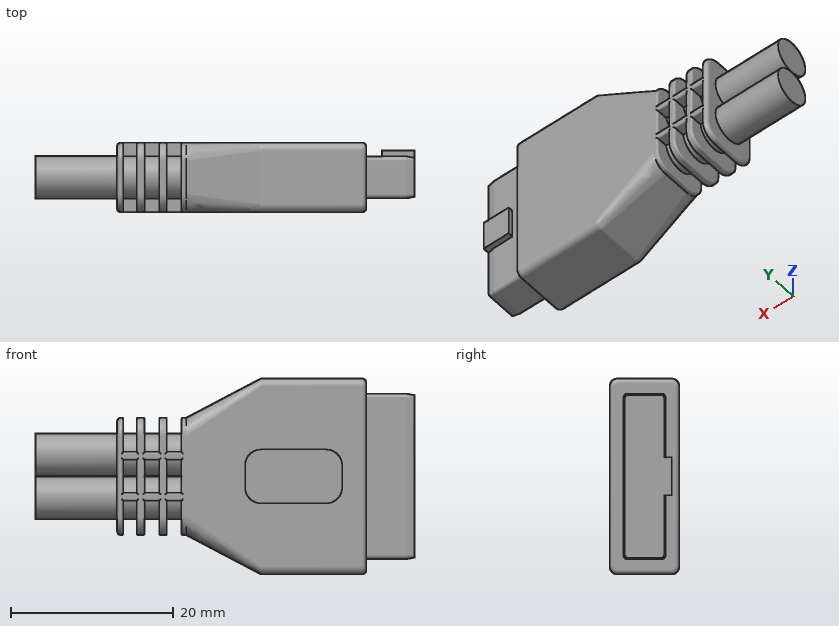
import cadquery as cq


cable_diameter = 5.3
cable_gap = 0.05
cable_offset_z = (cable_diameter + cable_gap) / 2

relief_width = 8.6
relief_height = 14.5
relief_corner_radius = 2.25
rib_thickness = 1.0
rib_starts = [12.5, 15.25]
end_plate_start = 10.05
end_plate_thickness = 0.8
end_plate_outer_fillet = 0.5
rib_edge_fillet = 0.25
collar_start = 18.0
bar_thickness = 1.0
bar_offset_z = 2.55

taper_start = 18.63
body_start = 27.85
body_end = 40.85
body_width = relief_width
body_height = 24.2
body_corner_radius = 1.0
body_end_fillet = 0.55
shoulder_fillet = 0.5
shoulder_margin = 0.05

recess_start = 25.9
recess_length = 12.0
recess_height = 6.65
recess_corner_radius = 1.95
recess_depth = 0.45

plug_end = 46.8
plug_width = 5.2
plug_height = 20.45
plug_edge_radius = 0.5
nose_length = 1.05
nose_setback = 0.2

key_start = 42.78
key_rise = 0.75
key_height = 4.7


def rounded_outline(width, height, radius):
    return cq.Sketch().rect(width, height).vertices().fillet(radius)


def rounded_bar(x, length, width, height, radius):
    outline = rounded_outline(width, height, radius)
    return cq.Workplane("YZ", origin=(x, 0, 0)).placeSketch(outline).extrude(length)


def tapered_bar(x, length, start_outline, end_outline):
    """Bar along X that blends from one outline to the other."""
    far_outline = end_outline.moved(cq.Location(cq.Vector(0, 0, length)))
    return cq.Workplane("YZ", origin=(x, 0, 0)).placeSketch(start_outline, far_outline).loft()


def relief_plate(x, thickness):
    return rounded_bar(x, thickness, relief_width, relief_height, relief_corner_radius)


def make_cable(z):
    return cq.Workplane("YZ", origin=(0, 0, z)).circle(cable_diameter / 2).extrude(collar_start)


def make_shell():
    """Straight housing block with the taper that narrows down to the collar."""
    collar_outline = rounded_outline(relief_width, relief_height, relief_corner_radius)
    body_outline = rounded_outline(body_width, body_height, body_corner_radius)
    taper = tapered_bar(taper_start, body_start - taper_start, collar_outline, body_outline)
    body = rounded_bar(body_start, body_end - body_start, body_width, body_height, body_corner_radius)
    body = body.faces(">X").edges().fillet(body_end_fillet)
    shell = taper.union(body)
    shoulder = cq.selectors.BoxSelector(
        (body_start - shoulder_margin, -body_width, -body_height),
        (body_start + shoulder_margin, body_width, body_height),
    )
    return shell.edges(shoulder).fillet(shoulder_fillet)


def make_relief():
    """Collar, ribs and end plate, joined by bars beside the cables."""
    collar = relief_plate(collar_start, taper_start - collar_start)
    relief = collar.faces("<X").edges().fillet(rib_edge_fillet)

    for rib_start in rib_starts:
        rib = relief_plate(rib_start, rib_thickness)
        relief = relief.union(rib.faces("<X or >X").edges().fillet(rib_edge_fillet))

    end_plate = relief_plate(end_plate_start, end_plate_thickness)
    end_plate = end_plate.faces(">X").edges().fillet(rib_edge_fillet)
    relief = relief.union(end_plate.faces("<X").edges().fillet(end_plate_outer_fillet))

    bar_start = end_plate_start + end_plate_outer_fillet
    for side in (-1, 1):
        bar = rounded_bar(bar_start, taper_start - bar_start, relief_width, bar_thickness, rib_edge_fillet)
        relief = relief.union(bar.translate((0, 0, side * bar_offset_z)))
    return relief


def make_plug():
    """Plug with a tapered nose and a key on its +Y face."""
    nose_start = plug_end - nose_length
    shank = rounded_bar(body_end, nose_start - body_end, plug_width, plug_height, plug_edge_radius)
    root_outline = rounded_outline(plug_width, plug_height, plug_edge_radius)
    tip_outline = rounded_outline(
        plug_width - 2 * nose_setback, plug_height - 2 * nose_setback, plug_edge_radius - nose_setback
    )
    nose = tapered_bar(nose_start, nose_length, root_outline, tip_outline)
    key = cq.Workplane("XY").box(
        plug_end - key_start, plug_width / 2 + key_rise, key_height, centered=(False, False, True)
    )
    return shank.union(nose).union(key.translate((key_start, 0, 0)))


def make_label_recess():
    recess = cq.Workplane("XY").box(recess_length, 2 * recess_depth, recess_height)
    recess = recess.edges("|Y").fillet(recess_corner_radius)
    return recess.translate((recess_start + recess_length / 2, -body_width / 2, 0))


def make_housing(cables):
    """Housing with its strain relief and plug, bored to fit the cables."""
    housing = make_shell().union(make_relief()).union(make_plug()).cut(make_label_recess())
    for cable in cables:
        housing = housing.cut(cable)
    return housing.solids()


cables = [make_cable(side * cable_offset_z) for side in (-1, 1)]
housing = make_housing(cables)

result = cq.Compound.makeCompound([housing.val(), *[cable.val() for cable in cables]])